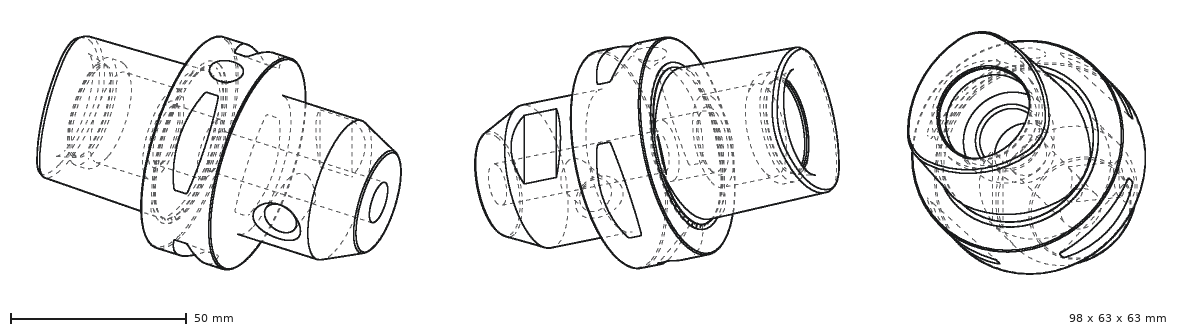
import cadquery as cq
import math


SHANK_LENGTH = 38.0
GAUGE_WIDTH = 44.0
CENTRE_SPACING = 19.0
TAPER = 1 / 20
TIP_CHAMFER_LENGTH = 1.2
TIP_CHAMFER_ANGLE = 30.0
SHANK_OVERLAP = 3.0

RELIEF_RADIUS = 22.75
RELIEF_CYLINDER_START = -1.1
RELIEF_START = -2.2
BOSS_HEIGHT = 0.2
RING_GROOVE_RADIUS = 0.72

FLANGE_RADIUS = 63.0 / 2
FLANGE_LENGTH = 22.0
FLANGE_CHAMFER = 0.4

NOSE_RADIUS = 41.5 / 2
NOSE_END = 60.0
NOSE_CONE_START = 47.7
NOSE_CONE_ANGLE = 25.0
NOSE_END_CHAMFER = 0.5
NOSE_ROOT_FILLET = 0.6

RIM_FEATURE_X = 12.0
SLOT_FLOOR_DISTANCE = 27.9
SLOT_FLOOR_WIDTH = 4.05
SLOT_WALL_ANGLE = 30.0
SLOT_FLOOR_FILLET = 0.8
SLOT_ANGLES = (45, 135, 225, 315)
DIMPLE_RADIUS = 4.9

MOUTH_RADIUS = 32.7 / 2
MOUTH_FILLET = 1.0
MOUTH_CONE_ANGLE = 13.5
LIP_FRONT_RADIUS = 28.0 / 2
LIP_RADIUS = 27.2 / 2
LIP_END_DEPTH = 7.6
GROOVE_RADIUS = 32.0 / 2
GROOVE_FILLET = 2.0
GROOVE_WALL_ANGLE = 55.0
GROOVE_END_DEPTH = 13.4
POCKET_RADIUS = 27.0 / 2
POCKET_DEPTH = 30.0
THREAD_RADIUS = 17.84 / 2
THREAD_CHAMFER = 1.0
THREAD_DEPTH = 45.0
TOOL_BORE_RADIUS = 12.0 / 2
DRILL_POINT_ANGLE = 59.0

SCREW_X = 37.9
SCREW_RADIUS = 10.11 / 2
SCREW_SINK_RADIUS = 7.5
CROSS_SLOT_DEPTH = 3.0
CROSS_SLOT_TOP_WIDTH = 15.6
CROSS_SLOT_FLOOR_WIDTH = 2 * SCREW_RADIUS

CLEARANCE = 1.0


def turned(outline):
    """Solid of revolution about X from an open (x, radius) outline, closed here."""
    return outline.close().revolve(360, (0, 0, 0), (1, 0, 0))


def polar(radius, angle):
    """Point at an angle measured from +Y towards +Z."""
    return (radius * math.cos(math.radians(angle)), radius * math.sin(math.radians(angle)))


def polygon_wire(x, inset=0.0):
    """Rounded triangle at x: three lobe arcs joined tangentially by three flank arcs."""
    lobe_radius = (GAUGE_WIDTH + TAPER * x - CENTRE_SPACING) / 2 - inset
    flank_radius = lobe_radius + CENTRE_SPACING
    centre_distance = CENTRE_SPACING / math.sqrt(3)

    def point(centre_angle, radius, direction):
        cy, cz = polar(centre_distance, centre_angle)
        dy, dz = polar(radius, direction)
        return cq.Vector(x, cy + dy, cz + dz)

    edges = []
    for lobe in (90, 210, 330):
        lobe_arc = [point(lobe, lobe_radius, lobe + turn) for turn in (-30, 0, 30)]
        flank_centre = lobe + 240
        flank_arc = [point(flank_centre, flank_radius, lobe + turn) for turn in (30, 60, 90)]
        edges.append(cq.Edge.makeThreePointArc(*lobe_arc))
        edges.append(cq.Edge.makeThreePointArc(*flank_arc))
    return cq.Wire.assembleEdges(edges)


def shank():
    """Tapered polygon with a chamfered tip and a parallel root."""
    chamfer_inset = TIP_CHAMFER_LENGTH * math.tan(math.radians(TIP_CHAMFER_ANGLE))
    tip = polygon_wire(-SHANK_LENGTH, chamfer_inset)
    shoulder = polygon_wire(-SHANK_LENGTH + TIP_CHAMFER_LENGTH)
    taper_end = polygon_wire(RELIEF_START)
    chamfer = cq.Solid.makeLoft([tip, shoulder], True)
    taper = cq.Solid.makeLoft([shoulder, taper_end], True)
    root_length = cq.Vector(SHANK_OVERLAP - RELIEF_START, 0, 0)
    root = cq.Solid.extrudeLinear(taper_end, [], root_length)
    return cq.Workplane(obj=chamfer).union(cq.Workplane(obj=taper)).union(cq.Workplane(obj=root))


def flange_and_nose():
    """Turned body from the flange face to the nose end."""
    cone_drop = (NOSE_END - NOSE_CONE_START) * math.tan(math.radians(NOSE_CONE_ANGLE))
    end_radius = NOSE_RADIUS - cone_drop
    chamfer_radius = end_radius + NOSE_END_CHAMFER * math.tan(math.radians(NOSE_CONE_ANGLE))
    rim = FLANGE_RADIUS - FLANGE_CHAMFER
    fillet_middle = NOSE_ROOT_FILLET * (1 - math.sqrt(0.5))
    profile = (
        cq.Workplane("XY")
        .moveTo(0, 0)
        .lineTo(0, rim)
        .lineTo(FLANGE_CHAMFER, FLANGE_RADIUS)
        .lineTo(FLANGE_LENGTH - FLANGE_CHAMFER, FLANGE_RADIUS)
        .lineTo(FLANGE_LENGTH, rim)
        .lineTo(FLANGE_LENGTH, NOSE_RADIUS + NOSE_ROOT_FILLET)
        .threePointArc(
            (FLANGE_LENGTH + fillet_middle, NOSE_RADIUS + fillet_middle),
            (FLANGE_LENGTH + NOSE_ROOT_FILLET, NOSE_RADIUS),
        )
        .lineTo(NOSE_CONE_START, NOSE_RADIUS)
        .lineTo(NOSE_END - NOSE_END_CHAMFER, chamfer_radius)
        .lineTo(NOSE_END, chamfer_radius - NOSE_END_CHAMFER)
        .lineTo(NOSE_END, 0)
    )
    return turned(profile)


def root_boss():
    """Low round boss on the flange face around the shank root."""
    return cq.Workplane("YZ", origin=(-BOSS_HEIGHT, 0, 0)).circle(RELIEF_RADIUS).extrude(2 * BOSS_HEIGHT)


def ring_groove():
    """Half-round ring groove in the flange face around the boss."""
    centre_radius = RELIEF_RADIUS + RING_GROOVE_RADIUS
    groove = cq.Solid.makeTorus(
        centre_radius,
        RING_GROOVE_RADIUS,
        cq.Vector(0, 0, 0),
        cq.Vector(1, 0, 0),
    )
    return cq.Workplane(obj=groove)


def lobe_relief():
    """Ring that turns the lobes down to the relief radius next to the flange."""
    cone_rise = RELIEF_CYLINDER_START - RELIEF_START
    outside = FLANGE_RADIUS
    profile = cq.Workplane("XY").polyline([
        (SHANK_OVERLAP, RELIEF_RADIUS),
        (RELIEF_CYLINDER_START, RELIEF_RADIUS),
        (RELIEF_START, RELIEF_RADIUS + cone_rise),
        (RELIEF_START, outside),
        (SHANK_OVERLAP, outside),
    ])
    return turned(profile)


def bore():
    """Bore cutter: mouth cone, gripping groove, pocket, thread hole and tool bore."""
    tip = -SHANK_LENGTH

    def mouth_point(turn):
        angle = math.radians(turn)
        depth = MOUTH_FILLET * (1 - math.cos(angle))
        return (tip + depth, MOUTH_RADIUS - MOUTH_FILLET * math.sin(angle))

    mouth_turn = 90 - MOUTH_CONE_ANGLE
    cone_start_x, cone_start_radius = mouth_point(mouth_turn)
    cone_length = (cone_start_radius - LIP_FRONT_RADIUS) / math.tan(math.radians(MOUTH_CONE_ANGLE))
    lip_front_x = cone_start_x + cone_length
    lip_chamfer = LIP_FRONT_RADIUS - LIP_RADIUS
    lip_end_x = tip + LIP_END_DEPTH

    groove_end_x = tip + GROOVE_END_DEPTH
    wall_angle = math.radians(GROOVE_WALL_ANGLE)
    wall_start_radius = GROOVE_RADIUS - GROOVE_FILLET * (1 - math.cos(wall_angle))
    wall_start_x = groove_end_x - (wall_start_radius - POCKET_RADIUS) / math.tan(wall_angle)
    fillet_start_x = wall_start_x - GROOVE_FILLET * math.sin(wall_angle)
    fillet_middle = (
        fillet_start_x + GROOVE_FILLET * math.sin(wall_angle / 2),
        GROOVE_RADIUS - GROOVE_FILLET * (1 - math.cos(wall_angle / 2)),
    )

    pocket_floor = tip + POCKET_DEPTH
    thread_end = tip + THREAD_DEPTH
    point_length = (THREAD_RADIUS - TOOL_BORE_RADIUS) / math.tan(math.radians(DRILL_POINT_ANGLE))
    profile = (
        cq.Workplane("XY")
        .moveTo(tip, 0)
        .lineTo(tip, MOUTH_RADIUS)
        .threePointArc(mouth_point(mouth_turn / 2), (cone_start_x, cone_start_radius))
        .lineTo(lip_front_x, LIP_FRONT_RADIUS)
        .lineTo(lip_front_x + lip_chamfer, LIP_RADIUS)
        .lineTo(lip_end_x, LIP_RADIUS)
        .lineTo(lip_end_x, GROOVE_RADIUS)
        .lineTo(fillet_start_x, GROOVE_RADIUS)
        .threePointArc(fillet_middle, (wall_start_x, wall_start_radius))
        .lineTo(groove_end_x, POCKET_RADIUS)
        .lineTo(pocket_floor, POCKET_RADIUS)
        .lineTo(pocket_floor, THREAD_RADIUS + THREAD_CHAMFER)
        .lineTo(pocket_floor + THREAD_CHAMFER, THREAD_RADIUS)
        .lineTo(thread_end, THREAD_RADIUS)
        .lineTo(thread_end + point_length, TOOL_BORE_RADIUS)
        .lineTo(NOSE_END, TOOL_BORE_RADIUS)
        .lineTo(NOSE_END, 0)
    )
    return turned(profile)


def gripper_slot(angle):
    """V-sided straight slot across the rim, its floor facing the given angle from +Y."""
    depth = FLANGE_RADIUS - SLOT_FLOOR_DISTANCE + CLEARANCE
    floor_half = SLOT_FLOOR_WIDTH / 2
    top_half = floor_half + depth * math.tan(math.radians(SLOT_WALL_ANGLE))
    top = SLOT_FLOOR_DISTANCE + depth
    cutter = (
        cq.Workplane("XY")
        .polyline([
            (RIM_FEATURE_X - floor_half, SLOT_FLOOR_DISTANCE),
            (RIM_FEATURE_X + floor_half, SLOT_FLOOR_DISTANCE),
            (RIM_FEATURE_X + top_half, top),
            (RIM_FEATURE_X - top_half, top),
        ])
        .close()
        .extrude(FLANGE_RADIUS, both=True)
        .edges("|Z and <Y")
        .fillet(SLOT_FLOOR_FILLET)
    )
    return cutter.rotate((0, 0, 0), (1, 0, 0), angle)


def rim_dimple():
    """Conical dimple in the flange rim at +Z."""
    cone = cq.Solid.makeCone(
        0,
        DIMPLE_RADIUS + CLEARANCE,
        DIMPLE_RADIUS + CLEARANCE,
        cq.Vector(RIM_FEATURE_X, 0, FLANGE_RADIUS - DIMPLE_RADIUS),
        cq.Vector(0, 0, 1),
    )
    return cq.Workplane(obj=cone)


def screw_hole():
    """Radial hole from -Y into the tool bore, with a 90 degree countersink."""
    sink_depth = SCREW_SINK_RADIUS - SCREW_RADIUS
    profile = [
        (SCREW_X, 0),
        (SCREW_X + SCREW_RADIUS, 0),
        (SCREW_X + SCREW_RADIUS, sink_depth - NOSE_RADIUS),
        (SCREW_X + SCREW_SINK_RADIUS + CLEARANCE, -NOSE_RADIUS - CLEARANCE),
        (SCREW_X, -NOSE_RADIUS - CLEARANCE),
    ]
    axis_start = (SCREW_X, 0, 0)
    axis_end = (SCREW_X, 1, 0)
    return cq.Workplane("XY").polyline(profile).close().revolve(360, axis_start, axis_end)


def cross_slot():
    """Trapezoidal slot running along Z across the +Y side of the nose."""
    floor_half = CROSS_SLOT_FLOOR_WIDTH / 2
    top_half = CROSS_SLOT_TOP_WIDTH / 2
    floor = NOSE_RADIUS - CROSS_SLOT_DEPTH
    return (
        cq.Workplane("XY")
        .polyline([
            (SCREW_X - floor_half, floor),
            (SCREW_X + floor_half, floor),
            (SCREW_X + top_half, NOSE_RADIUS),
            (SCREW_X - top_half, NOSE_RADIUS),
        ])
        .close()
        .extrude(NOSE_RADIUS, both=True)
    )


body = flange_and_nose().union(root_boss()).cut(ring_groove())
body = body.union(shank().cut(lobe_relief()))
body = body.cut(bore())
for slot_angle in SLOT_ANGLES:
    body = body.cut(gripper_slot(slot_angle))
body = body.cut(rim_dimple())
body = body.cut(screw_hole())
result = body.cut(cross_slot())